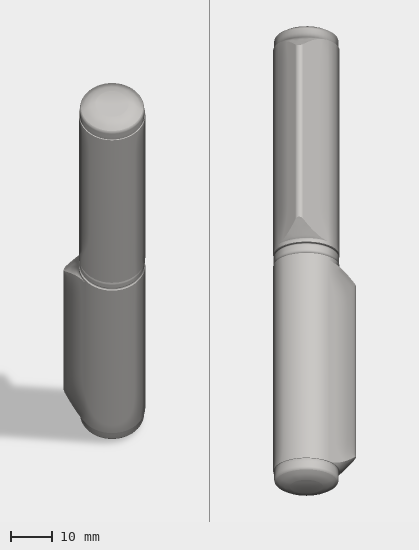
import cadquery as cq
import math

total_height = 119.0
barrel_diameter = 16.0
neck_diameter = 15.5
washer_diameter = 15.7
washer_thickness = 3.0
washer_edge_radius = 1.0

inner_land_height = 1.0
outer_neck_height = 4.0

end_flat_diameter = 8.0
crown_diameter = 14.9
crown_drop = 1.2
shoulder_drop = 1.9

wing_tangent_x = 1.5
wing_corner_radius = 1.2

barrel_radius = barrel_diameter / 2
neck_radius = neck_diameter / 2
half_height = total_height / 2
barrel_bottom = washer_thickness / 2
barrel_top = half_height - outer_neck_height
wing_bottom = barrel_bottom + inner_land_height


def make_core():
    """Turned body: barrel, outer neck and crowned end."""
    flat_radius = end_flat_diameter / 2
    crown_run = crown_diameter / 2 - flat_radius
    crown_radius = (crown_run**2 + crown_drop**2) / (2 * crown_drop)
    half_angle = math.atan2(crown_drop, crown_run)
    crown_middle = (
        flat_radius + crown_radius * math.sin(half_angle),
        half_height - crown_radius * (1 - math.cos(half_angle)),
    )
    return (
        cq.Workplane("XZ")
        .moveTo(0, barrel_bottom)
        .lineTo(barrel_radius, barrel_bottom)
        .lineTo(barrel_radius, barrel_top)
        .lineTo(neck_radius, barrel_top)
        .lineTo(neck_radius, half_height - shoulder_drop)
        .tangentArcPoint((crown_diameter / 2, half_height - crown_drop), relative=False)
        .threePointArc(crown_middle, (flat_radius, half_height))
        .lineTo(0, half_height)
        .close()
        .revolve(360, (0, 0), (0, 1))
    )


def make_wing():
    """Wing on the +Y side of the back, its ends turned to 45 degree cones."""
    tangent_y = math.sqrt(barrel_radius**2 - wing_tangent_x**2)
    corner_y = (barrel_radius**2 + wing_tangent_x * barrel_radius) / tangent_y
    prism = (
        cq.Workplane("XY", origin=(0, 0, wing_bottom))
        .moveTo(0, 0)
        .lineTo(wing_tangent_x, tangent_y)
        .lineTo(-barrel_radius, corner_y)
        .lineTo(-barrel_radius, 0)
        .close()
        .extrude(barrel_top - wing_bottom)
        .edges("|Z and >Y")
        .fillet(wing_corner_radius)
    )
    cone_rise = barrel_radius
    cone_radius = barrel_radius + cone_rise
    envelope = (
        cq.Workplane("XZ")
        .moveTo(0, wing_bottom)
        .lineTo(barrel_radius, wing_bottom)
        .lineTo(cone_radius, wing_bottom + cone_rise)
        .lineTo(cone_radius, barrel_top - cone_rise)
        .lineTo(barrel_radius, barrel_top)
        .lineTo(0, barrel_top)
        .close()
        .revolve(360, (0, 0), (0, 1))
    )
    return prism.intersect(envelope)


def make_hinge_half(turn):
    """One hinge half, turned about X by the given angle in degrees."""
    half = make_core().union(make_wing())
    return half.rotate((0, 0, 0), (1, 0, 0), turn)


def make_washer():
    """Disc with rounded rims between the two hinge halves."""
    return (
        cq.Workplane("XY", origin=(0, 0, -washer_thickness / 2))
        .circle(washer_diameter / 2)
        .extrude(washer_thickness)
        .edges("%CIRCLE")
        .fillet(washer_edge_radius)
    )


hinge_halves = [make_hinge_half(turn) for turn in (0, 180)]
washer = make_washer()

result = cq.Compound.makeCompound([*[half.val() for half in hinge_halves], washer.val()])